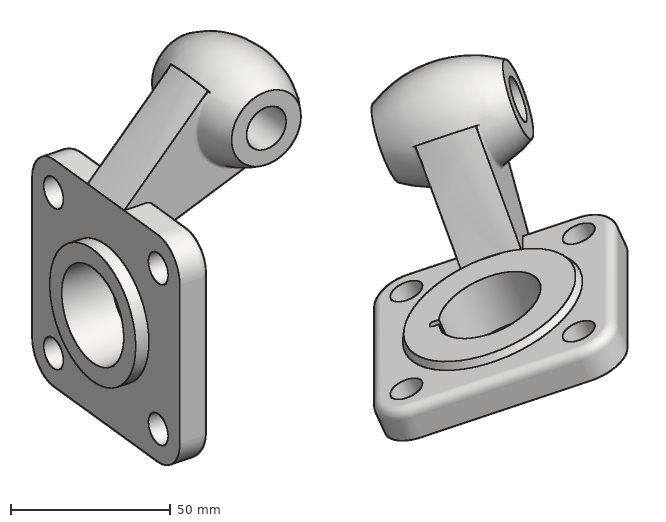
import cadquery as cq
import math

overall_height = 122.3

flange_side = 82.1
flange_thickness = 11.5
corner_radius = 12.4
back_edge_radius = 3.2
bolt_spacing = 58.1
bolt_hole_diameter = 10.9
flange_half = flange_side / 2

spigot_diameter = 47.7
spigot_height = 5.0
bore_diameter = 34.4
keyway_width = 2.8
keyway_depth = 3.0
keyway_front_lip = 3.0
pad_root_diameter = 60.7
pad_face_diameter = 58.0
pad_height = 2.5

eye_length = 44.3
eye_radius = 19.7
eye_end_radius = 13.2
eye_hole_diameter = 15.0
eye_drop = eye_radius - eye_end_radius
barrel_arc_radius = (eye_drop**2 + (eye_length / 2) ** 2) / (2 * eye_drop)
eye_y = 45.9
eye_z = overall_height - eye_radius - flange_half

arm_width = 20.3
arm_foot_lower_y = 12.5
arm_overlap = 0.2
joint_fillet = 1.2


def cylinder(diameter, y_start, y_end):
    """Cylinder along +Y on the hub axis."""
    workplane = cq.Workplane("XZ", origin=(0, y_start, 0))
    return workplane.circle(diameter / 2).extrude(y_start - y_end)


def make_flange():
    plate = (
        cq.Workplane("XZ")
        .rect(flange_side, flange_side)
        .extrude(-flange_thickness)
        .edges("|Y")
        .fillet(corner_radius)
    )
    return plate.faces(">Y").edges().fillet(back_edge_radius)


def make_pad():
    """Conical raised pad on the back of the flange."""
    return (
        cq.Workplane("XZ", origin=(0, flange_thickness, 0))
        .circle(pad_root_diameter / 2)
        .workplane(offset=-pad_height)
        .circle(pad_face_diameter / 2)
        .loft()
    )


def make_eye():
    half = eye_length / 2
    return (
        cq.Workplane("XY")
        .moveTo(-half, 0)
        .lineTo(-half, eye_end_radius)
        .threePointArc((0, eye_radius), (half, eye_end_radius))
        .lineTo(half, 0)
        .close()
        .revolve(360, (0, 0, 0), (1, 0, 0))
        .translate((0, eye_y, eye_z))
    )


def tangent_point(y, z, side):
    """Point where a line from (y, z) touches the arm's head circle; side is +1 or -1."""
    head_radius = eye_radius + arm_overlap
    distance = math.hypot(y - eye_y, z - eye_z)
    angle = math.atan2(z - eye_z, y - eye_y) + side * math.acos(head_radius / distance)
    return eye_y + head_radius * math.cos(angle), eye_z + head_radius * math.sin(angle)


def arm_section(upper, lower, width, crown):
    """Cross-section between two (y, z) points; a positive crown bows its upper and lower edges."""
    half = width / 2
    span = math.dist(upper, lower)
    drop_y = crown * (upper[0] - lower[0]) / span
    drop_z = crown * (upper[1] - lower[1]) / span

    def edge(middle, direction):
        y = middle[0] - direction * drop_y
        z = middle[1] - direction * drop_z
        start = cq.Vector(-direction * half, y, z)
        end = cq.Vector(direction * half, y, z)
        if crown:
            return cq.Edge.makeThreePointArc(start, cq.Vector(0, *middle), end)
        return cq.Edge.makeLine(start, end)

    top = edge(upper, 1)
    bottom = edge(lower, -1)
    right = cq.Edge.makeLine(top.endPoint(), bottom.startPoint())
    left = cq.Edge.makeLine(bottom.endPoint(), top.startPoint())
    return cq.Wire.assembleEdges([top, right, bottom, left])


def make_arm(width):
    """Straight at the flange, its upper and lower faces blend into the eye's curvature."""
    foot_upper = (0, flange_half)
    foot_lower = (arm_foot_lower_y, flange_half - corner_radius)
    crown = barrel_arc_radius - math.sqrt(barrel_arc_radius**2 - (width / 2) ** 2)
    foot = arm_section(foot_upper, foot_lower, width, 0)
    head_upper = tangent_point(*foot_upper, -1)
    head_lower = tangent_point(*foot_lower, 1)
    head = arm_section(head_upper, head_lower, width, crown)
    return cq.Workplane(cq.Solid.makeLoft([foot, head], True))


def make_keyway():
    """Round-bottomed groove in the +X side of the bore, open at the back only."""
    start = -spigot_height + keyway_front_lip
    end = flange_thickness + pad_height
    slot_end_x = bore_diameter / 2 + keyway_depth - keyway_width / 2
    floor_round = (
        cq.Workplane("XZ", origin=(slot_end_x, start, 0))
        .circle(keyway_width / 2)
        .extrude(start - end)
    )
    walls = cq.Workplane("XY").box(slot_end_x, end - start, keyway_width, centered=(False, False, True))
    return walls.translate((0, start, 0)).union(floor_round)


def make_joint_fillet():
    """Fillets between the eye and the arm's two flanks, ending at the arm's upper and lower faces."""
    barrel_center = eye_radius - barrel_arc_radius
    flank = arm_width / 2
    fillet_x = flank + joint_fillet
    fillet_rise = math.sqrt((barrel_arc_radius + joint_fillet) ** 2 - fillet_x**2)
    fillet_r = barrel_center + fillet_rise

    flank_angle = -math.pi
    barrel_angle = math.atan2(-fillet_rise, -fillet_x)
    middle_angle = (flank_angle + barrel_angle) / 2

    def on_fillet(angle):
        return fillet_x + joint_fillet * math.cos(angle), fillet_r + joint_fillet * math.sin(angle)

    foot_x = on_fillet(barrel_angle)[0]
    collar = (
        cq.Workplane("XY")
        .moveTo(0, 0)
        .lineTo(0, fillet_r)
        .lineTo(flank, fillet_r)
        .threePointArc(on_fillet(middle_angle), on_fillet(barrel_angle))
        .lineTo(foot_x, 0)
        .close()
        .revolve(360, (0, 0, 0), (1, 0, 0))
    )
    collar = collar.union(collar.mirror("YZ")).translate((0, eye_y, eye_z))
    return collar.intersect(make_arm(2 * fillet_x))


spigot = cylinder(spigot_diameter, -spigot_height, flange_thickness)
bore = cylinder(bore_diameter, -spigot_height, flange_thickness + pad_height)
bolt_holes = (
    cq.Workplane("XZ")
    .rarray(bolt_spacing, bolt_spacing, 2, 2)
    .circle(bolt_hole_diameter / 2)
    .extrude(-flange_thickness)
)
eye_hole = (
    cq.Workplane("YZ", origin=(-eye_length / 2, eye_y, eye_z))
    .circle(eye_hole_diameter / 2)
    .extrude(eye_length)
)

result = (
    make_flange()
    .union(make_pad())
    .union(spigot)
    .union(make_eye())
    .union(make_arm(arm_width))
    .union(make_joint_fillet())
    .cut(bore)
    .cut(make_keyway())
    .cut(bolt_holes)
    .cut(eye_hole)
)